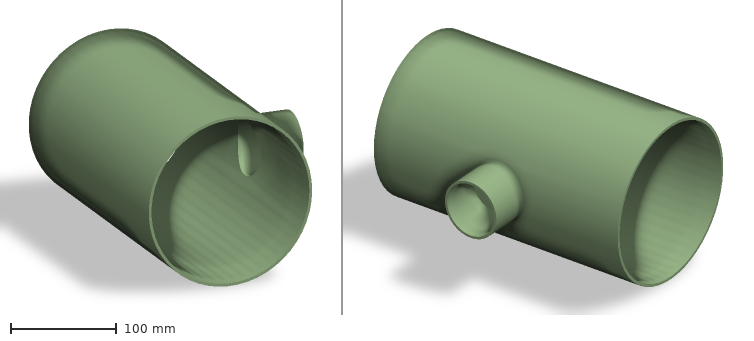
import cadquery as cq

pipe_length = 286.0
pipe_outer_diameter = 168.2
pipe_bore_diameter = 162.5

branch_outer_diameter = 60.3
branch_bore_diameter = 55.2
overall_depth = 208.2
branch_end = overall_depth - pipe_outer_diameter / 2

weld_radius = 3.0


def pipe_cylinder(diameter):
    """Cylinder along X over the full length of the main pipe."""
    return cq.Workplane("YZ").circle(diameter / 2).extrude(pipe_length / 2, both=True)


def branch_cylinder(diameter):
    """Cylinder along +Y from the main pipe axis to the branch end."""
    return cq.Workplane("XZ").circle(diameter / 2).extrude(-branch_end)


def add_weld(body):
    """Fillet the saddle-shaped edge between the branch and the main pipe."""
    reach = branch_outer_diameter / 2 + weld_radius
    crown = pipe_outer_diameter / 2 + weld_radius
    saddle = cq.selectors.BoxSelector((-reach, 0, -reach), (reach, crown, reach))
    return body.edges(saddle).fillet(weld_radius)


tee = pipe_cylinder(pipe_outer_diameter).union(branch_cylinder(branch_outer_diameter))
tee = add_weld(tee)

result = tee.cut(pipe_cylinder(pipe_bore_diameter)).cut(branch_cylinder(branch_bore_diameter))